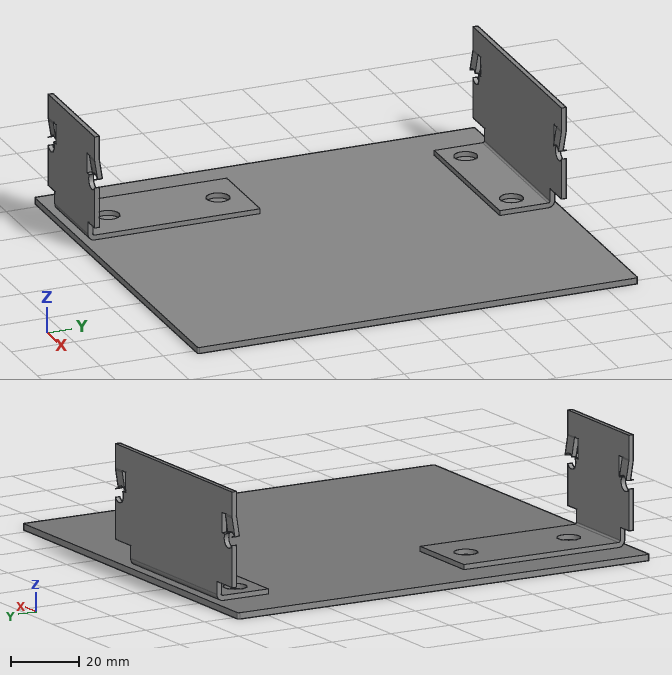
import cadquery as cq
import math

PLATE_X = 125.0
PLATE_Y = 140.0
PLATE_THICKNESS = 2.0
PLATE_CORNER_RADIUS = 0.5

TOTAL_HEIGHT = 37.0
SHEET = 1.5
BEND_INNER_RADIUS = 0.5
BEND_OUTER_RADIUS = BEND_INNER_RADIUS + SHEET
WALL_TO_PLATE_EDGE = 1.7
WALL_TO_PLATE_SIDE = 6.5
WALL_HEIGHT = TOTAL_HEIGHT - PLATE_THICKNESS
NECK_HEIGHT = 6.0

FOOT_HOLE_DIAMETER = 7.0
FOOT_HOLE_PITCH = 35.0

WINDOW_WIDTH = 5.9
WINDOW_HEIGHT = 6.2
WINDOW_TOP = WALL_HEIGHT - 7.4
TAB_WIDTH = 3.9
TAB_ANGLE = 9.0
TAB_BEND_RADIUS = 1.4
RELIEF_DIAMETER = 4.9
RELIEF_INSET = 2.1
RELIEF_BELOW_WINDOW = 1.4

BACK_WALL_LENGTH = 67.8
BACK_FOOT_WIDTH = 50.1
BACK_FOOT_REACH = 17.5
BACK_HOLES_FROM_WALL = 10.6

FRONT_WALL_LENGTH = 35.5
FRONT_FOOT_WIDTH = 25.5
FRONT_FOOT_REACH = 54.7
FRONT_HOLES_FROM_WALL = 11.6


def make_plate():
    plate = cq.Workplane("XY").box(PLATE_X, PLATE_Y, PLATE_THICKNESS, centered=(True, True, False))
    return plate.edges("|Z").fillet(PLATE_CORNER_RADIUS)


def centred_box(size_x, y_range, z_range):
    """Box centred on X = 0 with the given Y and Z limits."""
    y_low, y_high = y_range
    z_low, z_high = z_range
    box = cq.Workplane("XY").box(size_x, y_high - y_low, z_high - z_low, centered=(True, False, False))
    return box.translate((0, y_low, z_low))


def make_bent_sheet(wall_length, foot_width, foot_reach):
    """L-shaped sheet: wall with its outer face on Y = 0, foot along +Y on Z = 0."""
    foot = centred_box(foot_width, (0, foot_reach), (0, SHEET))
    neck = centred_box(foot_width, (0, SHEET), (0, WALL_HEIGHT))
    wall = centred_box(wall_length, (0, SHEET), (NECK_HEIGHT, WALL_HEIGHT))
    outer_corner = cq.selectors.NearestToPointSelector((0, 0, 0))
    inner_corner = cq.selectors.NearestToPointSelector((0, SHEET, SHEET))
    angle = foot.union(neck)
    angle = angle.edges(inner_corner).fillet(BEND_INNER_RADIUS)
    angle = angle.edges(outer_corner).fillet(BEND_OUTER_RADIUS)
    return angle.union(wall)


def make_tab(wall_length):
    """Tab at the +X end of a wall, bent inward from the top of its window."""
    tilt = math.radians(TAB_ANGLE)
    bend_centre_y = SHEET + TAB_BEND_RADIUS
    straight = (WINDOW_HEIGHT - TAB_BEND_RADIUS * math.sin(tilt)) / math.cos(tilt)

    def on_bend(radius, angle):
        return (bend_centre_y - radius * math.cos(angle), WINDOW_TOP - radius * math.sin(angle))

    def tab_end(radius):
        y, z = on_bend(radius, tilt)
        return (y + straight * math.sin(tilt), z - straight * math.cos(tilt))

    outer = TAB_BEND_RADIUS + SHEET
    inner = TAB_BEND_RADIUS
    profile = (
        cq.Workplane("YZ")
        .moveTo(*on_bend(outer, 0))
        .threePointArc(on_bend(outer, tilt / 2), on_bend(outer, tilt))
        .lineTo(*tab_end(outer))
        .lineTo(*tab_end(inner))
        .lineTo(*on_bend(inner, tilt))
        .threePointArc(on_bend(inner, tilt / 2), on_bend(inner, 0))
        .close()
    )
    return profile.extrude(TAB_WIDTH).translate((wall_length / 2 - TAB_WIDTH, 0, 0))


def add_end_notches(bracket, wall_length):
    """Cut the windows, hang the tabs in them and bore the reliefs through both."""
    window_bottom = WINDOW_TOP - WINDOW_HEIGHT
    window = cq.Workplane("XY").box(WINDOW_WIDTH, SHEET, WINDOW_HEIGHT, centered=False)
    window = window.translate((wall_length / 2 - WINDOW_WIDTH, 0, window_bottom))
    relief = (
        cq.Workplane("XZ")
        .center(wall_length / 2 - RELIEF_INSET, window_bottom - RELIEF_BELOW_WINDOW)
        .circle(RELIEF_DIAMETER / 2)
        .extrude(2 * SHEET, both=True)
    )
    tab = make_tab(wall_length)
    for cutter, addition in ((window, tab), (window.mirror("YZ"), tab.mirror("YZ"))):
        bracket = bracket.cut(cutter).union(addition)
    return bracket.cut(relief).cut(relief.mirror("YZ"))


def make_bracket(wall_length, foot_width, foot_reach, hole_points):
    """Bracket in its own frame, with holes through the foot at the given (X, Y) points."""
    bracket = make_bent_sheet(wall_length, foot_width, foot_reach)
    bracket = add_end_notches(bracket, wall_length)
    holes = cq.Workplane("XY").pushPoints(hole_points).circle(FOOT_HOLE_DIAMETER / 2).extrude(SHEET)
    return bracket.cut(holes)


def place_on_plate(bracket, wall_length):
    """Stand a bracket on the plate, its wall near the front edge and the left side."""
    x = -PLATE_X / 2 + WALL_TO_PLATE_SIDE + wall_length / 2
    y = -PLATE_Y / 2 + WALL_TO_PLATE_EDGE
    return bracket.translate((x, y, PLATE_THICKNESS))


def make_front_bracket():
    """Holes in a row along Y, away from the wall."""
    far_hole = FRONT_HOLES_FROM_WALL + FOOT_HOLE_PITCH
    hole_points = [(0, FRONT_HOLES_FROM_WALL), (0, far_hole)]
    bracket = make_bracket(FRONT_WALL_LENGTH, FRONT_FOOT_WIDTH, FRONT_FOOT_REACH, hole_points)
    return place_on_plate(bracket, FRONT_WALL_LENGTH)


def make_back_bracket():
    """Holes in a row along X, parallel to the wall; the bracket faces the front one."""
    hole_points = [(side * FOOT_HOLE_PITCH / 2, BACK_HOLES_FROM_WALL) for side in (-1, 1)]
    bracket = make_bracket(BACK_WALL_LENGTH, BACK_FOOT_WIDTH, BACK_FOOT_REACH, hole_points)
    return place_on_plate(bracket, BACK_WALL_LENGTH).mirror("XZ")


plate = make_plate()
front_bracket = make_front_bracket()
back_bracket = make_back_bracket()

result = cq.Compound.makeCompound([plate.val(), front_bracket.val(), back_bracket.val()])